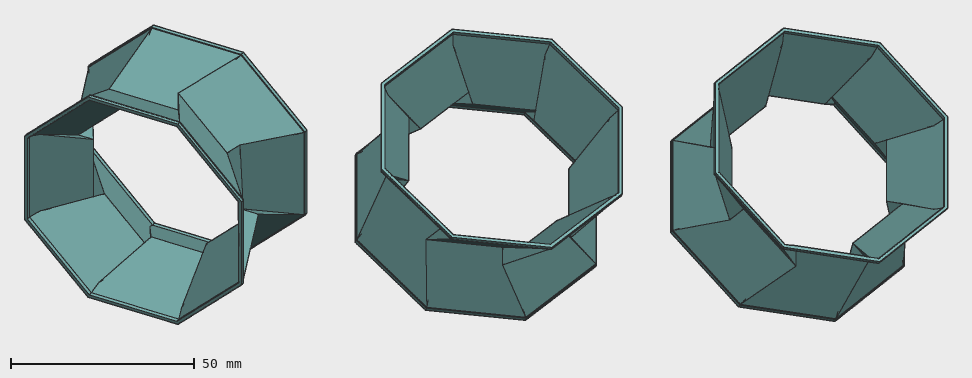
import cadquery as cq
import math

SIDES = 8
WIDTH = 38.4
RIM_APOTHEM = 33.4
RIM_LENGTH = 1.2
BORE_APOTHEM = 32.45
WALL_OFFSET = 0.7
WAIST_APOTHEM = 22.85
PANEL_START = -17.4

STEP = 2 * math.pi / SIDES
HALF_SIDE_RATIO = math.tan(STEP / 2)
DEPTH = WIDTH / 2 - RIM_LENGTH
BODY_APOTHEM = BORE_APOTHEM + WALL_OFFSET
PANEL_END = PANEL_START * math.cos(STEP) + WAIST_APOTHEM * math.sin(STEP)


def turned(index, point):
    """Turn a point of the top panel about Y to the panel with this index."""
    x, y, z = point
    c = math.cos(index * STEP)
    s = math.sin(index * STEP)
    return cq.Vector(x * c + z * s, y, z * c - x * s)


def face(points):
    return cq.Face.makeFromWires(cq.Wire.makePolygon(points, close=True))


def octagon(apothem, y):
    corner = (apothem * HALF_SIDE_RATIO, y, apothem)
    return [turned(i, corner) for i in range(SIDES)]


def folded_half(rim_apothem, mid_apothem, panel_end, bend=None):
    """Solid from the rim (y = -DEPTH) to the middle (y = 0), bounded by panels and triangles.

    A bend (apothem, y) is where plain octagon corners open into triangular folds;
    without one the folds start at the rim.
    """
    next_start = (mid_apothem - panel_end * math.sin(STEP)) / math.cos(STEP)
    end = (panel_end, 0, mid_apothem)
    start_of_next = (panel_end, 0, next_start)
    levels = [(rim_apothem, -DEPTH)]
    if bend:
        levels.append(bend)
    corners = [(a * HALF_SIDE_RATIO, y, a) for a, y in levels]

    faces = []
    middle = []
    for i in range(SIDES):
        left = [turned(i - 1, p) for p in corners + [start_of_next]]
        right = [turned(i, p) for p in corners + [end]]
        faces.append(face(left + right[::-1]))
        faces.append(face([turned(i, p) for p in (corners[-1], end, start_of_next)]))
        middle += [left[-1], right[-1]]
    faces.append(face(middle))
    faces.append(face(octagon(rim_apothem, -DEPTH)))
    return cq.Workplane(cq.Solid.makeSolid(cq.Shell.makeShell(faces)))


def waist_half():
    outside = folded_half(BODY_APOTHEM, WAIST_APOTHEM, PANEL_END)
    fold_edge = (WAIST_APOTHEM - PANEL_END * math.sin(STEP)) / math.cos(STEP) - WAIST_APOTHEM
    bend_fraction = 1 - WALL_OFFSET * math.sqrt(2) / fold_edge
    inner_mid = WAIST_APOTHEM - WALL_OFFSET
    bend_apothem = inner_mid + bend_fraction * (BORE_APOTHEM - inner_mid)
    bend = (bend_apothem, -bend_fraction * DEPTH)
    inside = folded_half(BORE_APOTHEM, inner_mid, PANEL_END + WALL_OFFSET, bend)
    return outside.cut(inside)


def rim():
    def prism(apothem):
        path = cq.Vector(0, -RIM_LENGTH, 0)
        wire = cq.Wire.makePolygon(octagon(apothem, -DEPTH), close=True)
        return cq.Workplane(cq.Solid.extrudeLinear(wire, [], path))

    return prism(RIM_APOTHEM).cut(prism(BORE_APOTHEM))


front_half = waist_half().union(rim())
result = front_half.union(front_half.mirror("XZ"))